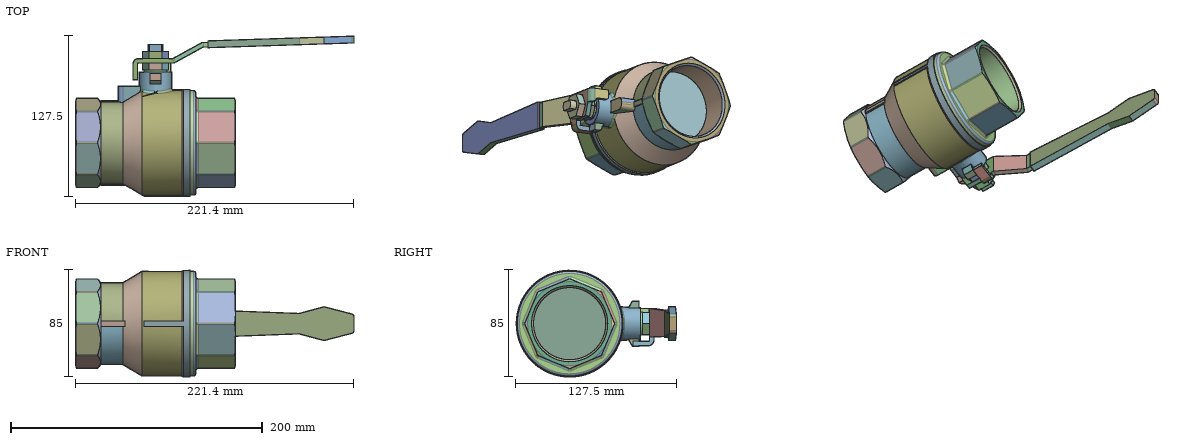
import cadquery as cq
import math


body_length = 127.0
end_x = body_length / 2
neck_radius = 32.6
shell_radius = 41.7
collar_radius = 42.5
inlet_end_x = -43.4
cone_start_x = -26.0
shell_start_x = -10.7
collar_start_x = 20.9
collar_chamfer = 1.2
collar_end_x = 27.6
shell_end_x = 32.0
shell_edge_radius = 1.8
cone_slope = (shell_radius - neck_radius) / (shell_start_x - cone_start_x)

octagon_corner_radius = 35.75
octagon_edge_fillet = 1.5
octagon_root_fillet = 2.0
octagon_flat_radius = octagon_corner_radius * math.cos(math.pi / 8)
face_round_rise = 0.4
face_round_radius = octagon_flat_radius + face_round_rise
outer_chamfer_length = 0.7
inner_chamfer_length = 2.8

bore_radius = 28.7
bore_mouth_radius = 30.3
bore_depth = 27.5

strip_width = 4.2
neck_strip_height = 1.1
strip_burial = 1.5

pick_margin = 0.1

housing_radius = 13.0
housing_top_y = 56.3
housing_fillet = 2.0
lug_width = 8.4
lug_reach = 18.0
lug_top_y = 55.2
lug_slope_y = 49.8
lug_base_y = 47.0

web_start_x = -29.8
web_width = 9.6
web_top_y = 45.2
web_corner_radius = 4.0

washer_radius = 9.2
washer_thickness = 1.7
nut_across_flats = 18.0
nut_corner_radius = nut_across_flats / math.sqrt(3)
stem_radius = 5.9
stem_flat_thickness = 6.8
stem_top_y = 78.3
upper_nut_top_y = 72.8

plate_thickness = 3.7
plate_bottom_y = 63.4
plate_top_y = plate_bottom_y + plate_thickness
bend_radius = 4.6
plate_half_width = 12.1
plate_end_x = -18.0
plate_bend_x = 14.7
ramp_end_x = 38.0
ramp_rise = 12.8
hook_end_y = 50.2
hook_lower_z = 4.5
hook_corner_radius = 2.0
fold_lower_z = 1.5
plate_nut_edge_z = -9.1
plate_bend_edge_z = -10.6
fold_end_y = 60.0
tongue_half_width = 10.1
tab_start_x = lug_width / 2
tab_end_x = 12.3
tab_reach = 17.6

grip_start_x = 41.7
grip_end_x = 157.9
grip_thickness = 5.6
grip_top_y = 85.0
grip_rise = 3.8
grip_waist_x = 114.3
grip_palm_x = 134.0
grip_start_half_width = 10.9
grip_waist_half_width = 8.2
grip_palm_half_width = 13.5
grip_tip_half_width = 7.3
grip_tip_radius = 2.5


def cylinder_x(radius, start_x, stop_x):
    """Cylinder about the X axis."""
    return cq.Workplane("YZ", origin=(start_x, 0, 0)).circle(radius).extrude(stop_x - start_x)


def along_y(start_y):
    """Sketch plane facing +Y: local x = X, local y = -Z."""
    return cq.Workplane("XZ", origin=(0, start_y, 0)).transformed(rotate=(180, 0, 0))


def box_between(x0, x1, y0, y1, z0, z1):
    """Box given by its limits on each axis."""
    return cq.Workplane("XY").box(x1 - x0, y1 - y0, z1 - z0, centered=False).translate((x0, y0, z0))


def revolve_x(points):
    """Turn an (x, radius) outline about the X axis."""
    return cq.Workplane("XY").polyline(points).close().revolve(360, (0, 0, 0), (1, 0, 0))


def octagon_bar(start_x, stop_x):
    """Octagonal bar with corners on the Y and Z axes and softened long edges."""
    bar = cq.Workplane("YZ", origin=(start_x, 0, 0)).polygon(8, 2 * octagon_corner_radius)
    return bar.extrude(stop_x - start_x).edges("|X").fillet(octagon_edge_fillet)


def make_octagons():
    tall = octagon_corner_radius
    inlet_envelope = revolve_x([
        (-end_x, 0),
        (-end_x, face_round_radius),
        (-end_x + outer_chamfer_length, tall),
        (inlet_end_x - inner_chamfer_length, tall),
        (inlet_end_x, neck_radius),
        (inlet_end_x, 0),
    ])
    outlet_envelope = revolve_x([
        (shell_end_x, 0),
        (shell_end_x, tall),
        (end_x - outer_chamfer_length, tall),
        (end_x, face_round_radius),
        (end_x, 0),
    ])
    inlet = octagon_bar(-end_x, inlet_end_x).intersect(inlet_envelope)
    outlet = octagon_bar(shell_end_x, end_x).intersect(outlet_envelope)
    return inlet.union(outlet)


def make_shell():
    shell = revolve_x([
        (inlet_end_x, 0),
        (inlet_end_x, neck_radius),
        (cone_start_x, neck_radius),
        (shell_start_x, shell_radius),
        (collar_start_x, shell_radius),
        (collar_start_x + collar_chamfer, collar_radius),
        (collar_end_x, collar_radius),
        (collar_end_x, shell_radius),
        (shell_end_x, shell_radius),
        (shell_end_x, 0),
    ])
    return shell.faces(">X").edges().fillet(shell_edge_radius)


def make_strips():
    """Raised parting-line strips, the neck one running out into the cone."""
    neck_run_out = neck_strip_height / cone_slope
    shell_run_out = (collar_radius - shell_radius) / cone_slope
    neck_strip_end_x = cone_start_x + neck_run_out + strip_burial
    neck_strip = cylinder_x(neck_radius + neck_strip_height, inlet_end_x, neck_strip_end_x)
    shell_strip = cylinder_x(collar_radius, shell_start_x + shell_run_out, collar_start_x + collar_chamfer)
    slab = cq.Workplane("XY").box(body_length, 2 * collar_radius, strip_width)
    return neck_strip.union(shell_strip).intersect(slab)


def make_sockets():
    mouth_x = end_x - (bore_mouth_radius - bore_radius)
    floor_x = end_x - bore_depth
    outlet = revolve_x([
        (floor_x, 0),
        (floor_x, bore_radius),
        (mouth_x, bore_radius),
        (end_x, bore_mouth_radius),
        (end_x, 0),
    ])
    return outlet.union(outlet.mirror("YZ"))


def make_lugs():
    """Travel stops for the lever on both sides of the housing."""
    lug = (
        cq.Workplane("YZ", origin=(-lug_width / 2, 0, 0))
        .polyline([
            (lug_base_y, 0),
            (lug_base_y, housing_radius),
            (lug_slope_y, lug_reach),
            (lug_top_y, lug_reach),
            (lug_top_y, 0),
        ])
        .close()
        .extrude(lug_width)
    )
    return lug.union(lug.mirror("XY"))


def make_web():
    """Web with a rounded nose, merging into the cone and the housing."""
    web = box_between(web_start_x, 0, 0, web_top_y, -web_width / 2, web_width / 2)
    return web.edges("|Y and <X").fillet(web_corner_radius)


def make_body():
    housing = along_y(0).circle(housing_radius).extrude(housing_top_y)
    body = make_shell().union(housing)
    junction = cq.selectors.BoxSelector(
        (-2 * housing_radius, neck_radius, -2 * housing_radius),
        (2 * housing_radius, housing_top_y - pick_margin, 2 * housing_radius),
        boundingbox=True,
    )
    body = body.edges(junction).edges("%BSPLINE").fillet(housing_fillet)
    body = body.union(make_octagons())
    octagon_root = cq.selectors.BoxSelector(
        (shell_end_x - pick_margin, -octagon_corner_radius, -octagon_corner_radius),
        (shell_end_x + pick_margin, octagon_corner_radius, octagon_corner_radius),
        boundingbox=True,
    )
    body = body.edges(octagon_root).fillet(octagon_root_fillet)
    body = body.union(make_strips())
    body = body.union(make_web()).union(make_lugs())
    return body.cut(make_sockets())


def hex_nut(start_y, stop_y):
    """Hexagon nut with corners towards +X and -X."""
    return along_y(start_y).polygon(6, 2 * nut_corner_radius).extrude(stop_y - start_y)


def make_stem():
    washer_top_y = housing_top_y + washer_thickness
    washer = along_y(housing_top_y).circle(washer_radius).extrude(washer_thickness)
    flats = cq.Workplane("XY").box(2 * stem_radius, 2 * stem_top_y, stem_flat_thickness)
    stem = along_y(housing_top_y).circle(stem_radius).extrude(stem_top_y - housing_top_y)
    lower_nut = hex_nut(washer_top_y, plate_bottom_y)
    upper_nut = hex_nut(plate_top_y, upper_nut_top_y)
    return stem.intersect(flats).union(washer).union(lower_nut).union(upper_nut)


def make_lever_plate():
    """Bent strip: hook, flat under the upper nut, ramp and short tongue into the grip."""
    ramp_angle = math.atan2(ramp_rise, ramp_end_x - plate_bend_x)
    bend_shift = plate_thickness * math.tan(ramp_angle / 2)
    tongue_top_y = plate_top_y + ramp_rise
    tongue_end_x = grip_start_x + grip_thickness
    strip = (
        cq.Workplane("XY", origin=(0, 0, -plate_half_width))
        .polyline([
            (plate_end_x, hook_end_y),
            (plate_end_x, plate_top_y),
            (plate_bend_x - bend_shift, plate_top_y),
            (ramp_end_x - bend_shift, tongue_top_y),
            (tongue_end_x, tongue_top_y),
            (tongue_end_x, tongue_top_y - plate_thickness),
            (ramp_end_x, tongue_top_y - plate_thickness),
            (plate_bend_x, plate_bottom_y),
            (plate_end_x + plate_thickness, plate_bottom_y),
            (plate_end_x + plate_thickness, hook_end_y),
        ])
        .close()
        .extrude(2 * plate_half_width)
    )
    outer_corner = cq.selectors.NearestToPointSelector((plate_end_x, plate_top_y, 0))
    inner_corner = cq.selectors.NearestToPointSelector((plate_end_x + plate_thickness, plate_bottom_y, 0))
    strip = strip.edges(outer_corner).fillet(bend_radius)
    return strip.edges(inner_corner).fillet(bend_radius - plate_thickness)


def make_tab():
    """Stop tab folded down beside the -Z lug."""
    plate = box_between(tab_start_x, tab_end_x, plate_bottom_y, plate_top_y, -tab_reach, 0)
    leg_inner_z = plate_thickness - tab_reach
    leg = box_between(tab_start_x, tab_end_x, hook_end_y, plate_top_y, -tab_reach, leg_inner_z)
    return plate.union(leg).faces("<Z").edges(">Y").fillet(bend_radius)


def make_lever():
    strip = make_lever_plate()
    plan = (
        along_y(0)
        .polyline([
            (plate_end_x, -plate_half_width),
            (plate_bend_x, -plate_half_width),
            (ramp_end_x, -tongue_half_width),
            (grip_start_x + grip_thickness, -tongue_half_width),
            (grip_start_x + grip_thickness, tongue_half_width),
            (ramp_end_x, tongue_half_width),
            (plate_bend_x, -plate_bend_edge_z),
            (-nut_corner_radius, -plate_nut_edge_z),
            (plate_end_x + plate_thickness, -fold_lower_z),
            (plate_end_x, -fold_lower_z),
        ])
        .close()
        .extrude(grip_top_y)
    )
    hook_notch = (
        cq.Workplane("YZ", origin=(plate_end_x, 0, 0))
        .polyline([
            (hook_end_y, 0),
            (hook_end_y, hook_lower_z),
            (fold_end_y, hook_lower_z),
            (plate_bottom_y, fold_lower_z),
            (plate_bottom_y, 0),
        ])
        .close()
        .extrude(plate_thickness)
    )
    strip = strip.intersect(plan).cut(hook_notch)
    hook_corner = cq.selectors.NearestToPointSelector(
        (plate_end_x + plate_thickness / 2, hook_end_y, hook_lower_z)
    )
    return strip.edges(hook_corner).fillet(hook_corner_radius).union(make_tab())


def make_grip():
    """Sleeve with a waist and a diamond-shaped palm, tilted slightly upward."""
    profile = (
        cq.Workplane("XY", origin=(0, 0, -grip_palm_half_width))
        .polyline([
            (grip_start_x, grip_top_y - grip_rise - grip_thickness),
            (grip_start_x, grip_top_y - grip_rise),
            (grip_end_x, grip_top_y),
            (grip_end_x, grip_top_y - grip_thickness),
        ])
        .close()
        .extrude(2 * grip_palm_half_width)
    )
    half = [
        (grip_start_x, grip_start_half_width),
        (grip_waist_x, grip_waist_half_width),
        (grip_palm_x, grip_palm_half_width),
        (grip_end_x, grip_tip_half_width),
    ]
    other_half = [(x, -z) for x, z in reversed(half)]
    plan = along_y(0).polyline(half + other_half).close().extrude(grip_top_y)
    plan = plan.edges("|Y and >X").fillet(grip_tip_radius)
    return profile.intersect(plan)


result = make_body().union(make_stem()).union(make_lever()).union(make_grip())